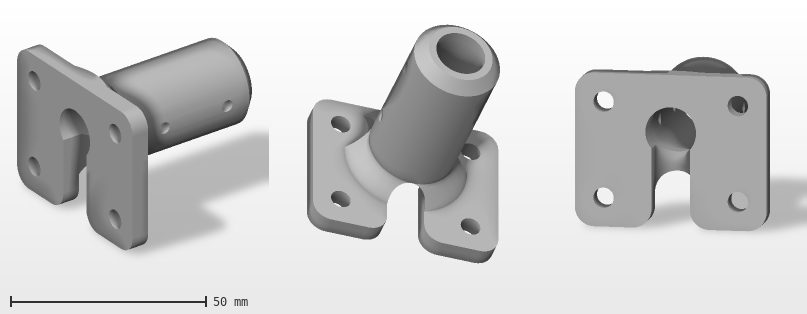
import cadquery as cq

plate_width = 50
plate_height = 40
plate_thickness = 5
corner_radius = 5

tube_axis_z = 25
tube_diameter = 23.2
bore_diameter = 13.2
total_length = 50
end_chamfer = 3
flare_height = 5
flare_end = plate_thickness + flare_height

screw_hole_diameter = 5.3
screw_edge_distance = 7.5
screw_spacing_x = plate_width - 2 * screw_edge_distance
screw_spacing_z = plate_height - 2 * screw_edge_distance
head_clearance_diameter = 15

slot_width = 10
slot_straight_depth = plate_thickness
slot_mouth_radius = 5

pin_hole_diameter = 3.3
pin_hole_positions = (20, 40)


def cylinder_along_y(diameter, start, end, x=0, z=tube_axis_z):
    """Solid cylinder parallel to Y, between two Y positions."""
    base = cq.Workplane("XZ", origin=(x, start, z))
    return base.circle(diameter / 2).extrude(start - end)


def make_plate():
    half_slot = slot_width / 2
    blank = cq.Workplane("XY").box(
        plate_width, plate_thickness, plate_height, centered=(True, False, False)
    )
    notch = cq.Workplane("XY").box(
        slot_width, plate_thickness, tube_axis_z, centered=(True, False, False)
    )
    plate = blank.edges("|Y").fillet(corner_radius).cut(notch)
    mouth = cq.selectors.BoxSelector(
        (-half_slot - 0.5, -0.5, -0.5), (half_slot + 0.5, plate_thickness + 0.5, 0.5)
    )
    return plate.edges("|Y").edges(mouth).fillet(slot_mouth_radius)


def make_flared_tube():
    """Revolved tube body, with the flare trimmed flush with the plate's top edge."""
    radius = tube_diameter / 2
    profile = [
        (0, plate_thickness),
        (radius + flare_height, plate_thickness),
        (radius, flare_end),
        (radius, total_length - end_chamfer),
        (radius - end_chamfer, total_length),
        (0, total_length),
    ]
    body = cq.Workplane("XY").polyline(profile).close().revolve(360, (0, 0), (0, 1))
    body = body.translate((0, 0, tube_axis_z))
    trim = cq.Workplane("XY").box(
        plate_width, total_length, plate_height, centered=(True, False, False)
    )
    return body.intersect(trim)


def make_slot():
    """Vertical channel with a round end, reaching up to the tube axis."""
    straight = cq.Workplane("XY").box(
        slot_width, slot_straight_depth, tube_axis_z, centered=(True, False, False)
    )
    round_end = (
        cq.Workplane("XY", origin=(0, slot_straight_depth, 0))
        .circle(slot_width / 2)
        .extrude(tube_axis_z)
    )
    return straight.union(round_end)


result = make_plate().union(make_flared_tube())

for side_x in (-1, 1):
    for side_z in (-1, 1):
        hole_x = side_x * screw_spacing_x / 2
        hole_z = plate_height / 2 + side_z * screw_spacing_z / 2
        result = result.cut(
            cylinder_along_y(screw_hole_diameter, 0, plate_thickness, hole_x, hole_z)
        )
        result = result.cut(
            cylinder_along_y(
                head_clearance_diameter, plate_thickness, flare_end, hole_x, hole_z
            )
        )

result = result.cut(make_slot())
result = result.cut(cylinder_along_y(bore_diameter, 0, total_length))

for pin_y in pin_hole_positions:
    pin = cq.Workplane("YZ", origin=(0, pin_y, tube_axis_z))
    result = result.cut(pin.circle(pin_hole_diameter / 2).extrude(plate_width / 2, both=True))